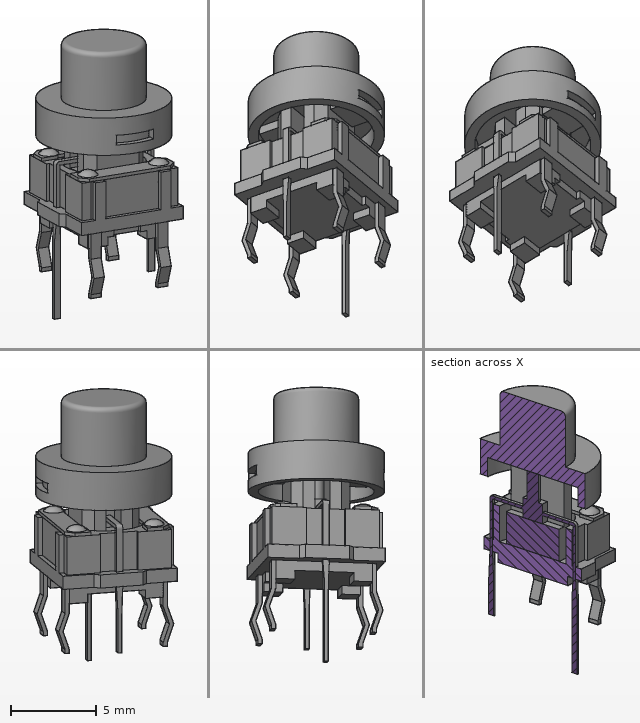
import cadquery as cq

TOTAL_HEIGHT = 16.6
BASE_BOTTOM = 6.08
BASE_HEIGHT = 0.8
BOX_HEIGHT = 2.3
PLATE_THICKNESS = 0.2
BASE_TOP = BASE_BOTTOM + BASE_HEIGHT
BOX_TOP = BASE_TOP + BOX_HEIGHT
PLATE_TOP = BOX_TOP + PLATE_THICKNESS

CAP_DIAMETER = 8.0
CAP_WALL = 0.6
BUTTON_DIAMETER = 5.0
BUTTON_HEIGHT = 3.52
BUTTON_FILLET = 0.3
FLANGE_HEIGHT = 2.29
FLANGE_TOP = TOTAL_HEIGHT - BUTTON_HEIGHT
CAP_BOTTOM = FLANGE_TOP - FLANGE_HEIGHT
WINDOW_WIDTH = 2.49
WINDOW_HEIGHT = 0.6
WINDOW_LIFT = 0.61
WINDOW_BOTTOM = CAP_BOTTOM + WINDOW_LIFT
WINDOW_TOP = WINDOW_BOTTOM + WINDOW_HEIGHT

STEM_X = 3.5
STEM_Y = 4.0
STEM_CHAMFER = 0.6
SLOT_WIDTH = 0.9
SLOT_FLOOR = 8.95
TAB_WIDTH = 2.3
TAB_HEIGHT = 0.53
TAB_DIAMETER = 7.17
STEM_TOP = WINDOW_BOTTOM + TAB_HEIGHT

PLATE_INNER_X = 1.73
PLATE_OPENING_X = 3.75
PLATE_OPENING_Y = 4.25
PLATE_CHAMFER = 0.5
LEG_THICKNESS = 0.27
LEG_WIDTH = 0.7
LEG_OUTER_X = 3.14
LEG_CENTER_Y = 2.24
LEG_TIP = 1.98
KINK_REACH = 0.38
KINK_TOP = 4.4
KINK_MIDDLE = 3.32
KINK_BOTTOM = 2.22

BASE_X = 7.0
BASE_Y = 6.8
BUMP_DEPTH = 0.3
BUMP_ROOT_WIDTH = 3.22
BUMP_TIP_WIDTH = 2.62
BOX_SIZE = 6.4
RECESS_WIDTH = 2.3
RECESS_DEPTH = 0.22
WELL_DIAMETER = 5.0
RIB_WIDTH = LEG_WIDTH
FRONT_RIB_Y = -2.14
BACK_RIB_Y = LEG_CENTER_Y
PLINTH_X = 2 * (LEG_OUTER_X - LEG_THICKNESS)
PLINTH_Y = 5.31
PLINTH_HEIGHT = 0.58
FOOT_HEIGHT = 0.51
FOOT_GAP_X = 3.52
FOOT_GAP_Y = 2.6
RELIEF_WIDTH = 1.8
RELIEF_DEPTH = 0.25

STAKE_DIAMETER = 0.8
STAKE_PLACE = 2.37
HEAD_DIAMETER = 1.2
HEAD_FLAT_DIAMETER = 0.4
HEAD_HEIGHT = 0.25
HEAD_BULGE_DIAMETER = 0.9
HEAD_BULGE_HEIGHT = 0.15

LENS_DIAMETER = SLOT_WIDTH
LENS_BOTTOM = 10.21
LAMP_LENGTH = 1.5
LEAD_TOP = 9.68
LEAD_WIDTH = 0.4
LEAD_THICKNESS = 0.23
LEAD_OUTER_Y = 3.27
LEAD_BEND_RADIUS = 0.23
PIN_X = 0.23
PIN_Y = 0.42
LONG_PIN_TIP = 0.0
LONG_PIN_TOP = 4.78
SHORT_PIN_TIP = LEG_TIP
SHORT_PIN_TOP = 4.27


def block(x_size, y_size, bottom, top):
    """Rectangular block centred on the Z axis between two heights."""
    return cq.Workplane("XY", origin=(0, 0, bottom)).rect(x_size, y_size).extrude(top - bottom)


def disc(diameter, bottom, top):
    """Cylinder on the Z axis between two heights."""
    return cq.Workplane("XY", origin=(0, 0, bottom)).circle(diameter / 2).extrude(top - bottom)


def make_cap():
    button = disc(BUTTON_DIAMETER, FLANGE_TOP, TOTAL_HEIGHT).faces(">Z").edges().fillet(BUTTON_FILLET)
    flange = disc(CAP_DIAMETER, CAP_BOTTOM, FLANGE_TOP)
    cavity = disc(CAP_DIAMETER - 2 * CAP_WALL, CAP_BOTTOM, WINDOW_TOP)
    windows = block(CAP_DIAMETER, WINDOW_WIDTH, WINDOW_BOTTOM, WINDOW_TOP)
    return flange.union(button).cut(cavity).cut(windows)


def make_stem():
    column = block(STEM_X, STEM_Y, BASE_TOP, STEM_TOP).edges("|Z").chamfer(STEM_CHAMFER)
    tab_bar = block(TAB_DIAMETER, TAB_WIDTH, WINDOW_BOTTOM, STEM_TOP)
    tabs = disc(TAB_DIAMETER, WINDOW_BOTTOM, STEM_TOP).intersect(tab_bar)
    slot = block(SLOT_WIDTH, STEM_Y, SLOT_FLOOR, STEM_TOP)
    return column.union(tabs).cut(slot)


def make_lead(pin_tip, pin_top):
    """Lead on the +Y side: flat strip bent down, then tapered into a narrow, deep pin."""
    inner_y = LEAD_OUTER_Y - LEAD_THICKNESS
    strip = (
        cq.Workplane("YZ")
        .moveTo(0, LEAD_TOP)
        .lineTo(LEAD_OUTER_Y - LEAD_BEND_RADIUS, LEAD_TOP)
        .radiusArc((LEAD_OUTER_Y, LEAD_TOP - LEAD_BEND_RADIUS), LEAD_BEND_RADIUS)
        .lineTo(LEAD_OUTER_Y, BASE_BOTTOM)
        .lineTo(inner_y, BASE_BOTTOM)
        .lineTo(inner_y, LEAD_TOP - LEAD_THICKNESS)
        .lineTo(0, LEAD_TOP - LEAD_THICKNESS)
        .close()
        .extrude(LEAD_WIDTH / 2, both=True)
    )
    taper = (
        cq.Workplane("XY", origin=(0, 0, pin_top))
        .rect(PIN_X, PIN_Y)
        .workplane(offset=BASE_BOTTOM - pin_top)
        .rect(LEAD_WIDTH, LEAD_THICKNESS)
        .loft()
    )
    pin = block(PIN_X, PIN_Y, pin_tip, pin_top).union(taper)
    return strip.union(pin.translate((0, LEAD_OUTER_Y - LEAD_THICKNESS / 2, 0)))


def make_lamp():
    body = block(SLOT_WIDTH, LAMP_LENGTH, SLOT_FLOOR, LENS_BOTTOM)
    lens = disc(LENS_DIAMETER, LENS_BOTTOM, WINDOW_TOP)
    front_lead = make_lead(LONG_PIN_TIP, LONG_PIN_TOP).mirror("XZ")
    back_lead = make_lead(SHORT_PIN_TIP, SHORT_PIN_TOP)
    return body.union(lens).union(front_lead).union(back_lead)


def make_terminal(side):
    """Terminal on the +X side for side = 1, or on the -X side for side = -1."""
    plate_width = BOX_SIZE / 2 - PLATE_INNER_X
    plate = (
        block(plate_width, BOX_SIZE, BOX_TOP, PLATE_TOP)
        .translate((PLATE_INNER_X + plate_width / 2, 0, 0))
        .edges("|Z and >X")
        .chamfer(PLATE_CHAMFER)
        .cut(block(PLATE_OPENING_X, PLATE_OPENING_Y, BOX_TOP, PLATE_TOP))
    )
    outer_line = [
        (LEG_OUTER_X, PLATE_TOP),
        (LEG_OUTER_X, KINK_TOP),
        (LEG_OUTER_X + KINK_REACH, KINK_MIDDLE),
        (LEG_OUTER_X, KINK_BOTTOM),
        (LEG_OUTER_X, LEG_TIP),
    ]
    inner_line = [(x - LEG_THICKNESS, z) for x, z in reversed(outer_line)]
    leg = cq.Workplane("XZ").polyline(outer_line + inner_line).close().extrude(LEG_WIDTH / 2, both=True)
    terminal = plate
    for leg_y in (-LEG_CENTER_Y, LEG_CENTER_Y):
        terminal = terminal.union(leg.translate((0, leg_y, 0)))
    return terminal if side > 0 else terminal.mirror("YZ")


def make_base():
    """Base slab with a chamfered bump on the -Y and +Y sides."""
    root_y = BASE_Y / 2
    tip_y = root_y + BUMP_DEPTH
    back_bump = [
        (-BUMP_ROOT_WIDTH / 2, root_y),
        (-BUMP_TIP_WIDTH / 2, tip_y),
        (BUMP_TIP_WIDTH / 2, tip_y),
        (BUMP_ROOT_WIDTH / 2, root_y),
    ]
    front_bump = [(x, -y) for x, y in reversed(back_bump)]
    bumps = cq.Workplane("XY", origin=(0, 0, BASE_BOTTOM)).polyline(back_bump + front_bump).close()
    return block(BASE_X, BASE_Y, BASE_BOTTOM, BASE_TOP).union(bumps.extrude(BASE_HEIGHT))


def make_box():
    """Box with a recess for each lead, a round well, and ribs beside the terminal legs."""
    web = block(RECESS_WIDTH, BOX_SIZE - 2 * RECESS_DEPTH, BASE_TOP, BOX_TOP)
    recesses = block(RECESS_WIDTH, BOX_SIZE, BASE_TOP, BOX_TOP).cut(web)
    box = block(BOX_SIZE, BOX_SIZE, BASE_TOP, BOX_TOP).cut(recesses)
    for rib_y in (FRONT_RIB_Y, BACK_RIB_Y):
        box = box.union(block(BASE_X, RIB_WIDTH, BASE_TOP, BOX_TOP).translate((0, rib_y, 0)))
    return box.cut(disc(WELL_DIAMETER, BASE_TOP, BOX_TOP))


def make_plinth():
    """Plinth under the base, with a foot at each corner and a shallow relief in each X side."""
    plinth_bottom = BASE_BOTTOM - PLINTH_HEIGHT
    foot_bottom = plinth_bottom - FOOT_HEIGHT
    core = block(PLINTH_X - 2 * RELIEF_DEPTH, RELIEF_WIDTH, plinth_bottom, BASE_BOTTOM)
    reliefs = block(PLINTH_X, RELIEF_WIDTH, plinth_bottom, BASE_BOTTOM).cut(core)
    return (
        block(PLINTH_X, PLINTH_Y, foot_bottom, BASE_BOTTOM)
        .cut(block(FOOT_GAP_X, PLINTH_Y, foot_bottom, plinth_bottom))
        .cut(block(PLINTH_X, FOOT_GAP_Y, foot_bottom, plinth_bottom))
        .cut(reliefs)
    )


def make_stakes():
    """Round posts through the terminal plates, each ending in a domed head."""
    stake = (
        cq.Workplane("XZ")
        .moveTo(0, BOX_TOP)
        .lineTo(STAKE_DIAMETER / 2, BOX_TOP)
        .lineTo(STAKE_DIAMETER / 2, PLATE_TOP)
        .lineTo(HEAD_DIAMETER / 2, PLATE_TOP)
        .threePointArc(
            (HEAD_BULGE_DIAMETER / 2, PLATE_TOP + HEAD_BULGE_HEIGHT),
            (HEAD_FLAT_DIAMETER / 2, PLATE_TOP + HEAD_HEIGHT),
        )
        .lineTo(0, PLATE_TOP + HEAD_HEIGHT)
        .close()
        .revolve(360, (0, 0), (0, 1))
    )
    places = (-STAKE_PLACE, STAKE_PLACE)
    return [stake.translate((x, y, 0)) for x in places for y in places]


cap = make_cap()
lamp = make_lamp()
stem = make_stem().cut(lamp)
terminals = [make_terminal(side) for side in (-1, 1)]

housing = make_base().union(make_box()).union(make_plinth()).cut(lamp)
for terminal in terminals:
    housing = housing.cut(terminal)

for stake in make_stakes():
    terminals = [terminal.cut(stake) for terminal in terminals]
    housing = housing.union(stake)

result = cq.Compound.makeCompound(
    [cap.val(), stem.val(), lamp.val(), housing.val(), *[terminal.val() for terminal in terminals]]
)